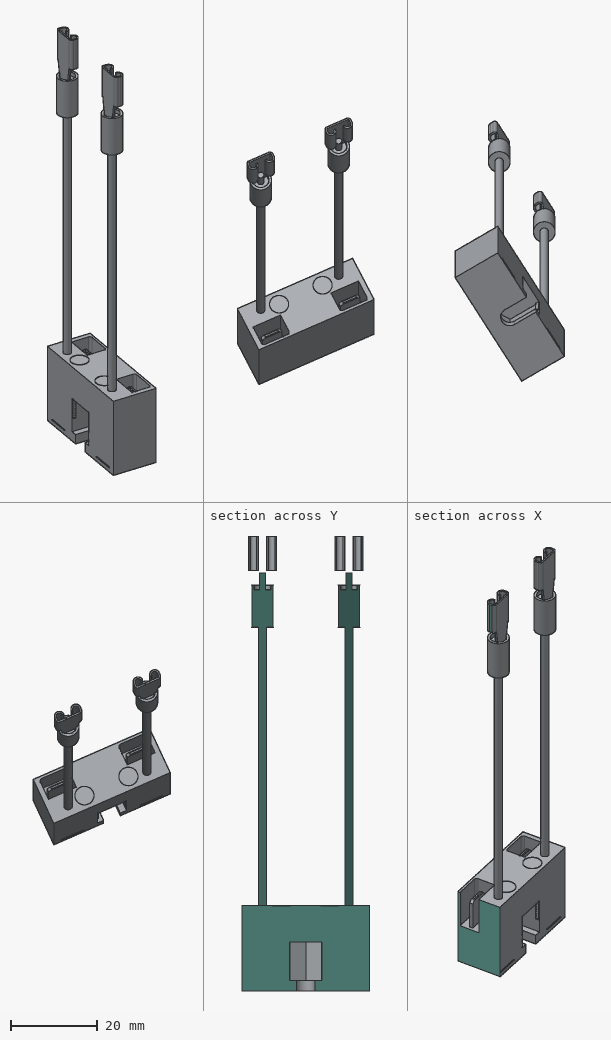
import cadquery as cq
import math

HOUSING_LENGTH = 29.5
HOUSING_DEPTH = 11.6
HOUSING_HEIGHT = 19.9

NUT_SLOT_WIDTH = 7.4
NUT_SLOT_FLOOR = 2.5
NUT_SLOT_TOP = 11.4
BOLT_SLOT_WIDTH = 4.2
NUT_CENTRE_Y = HOUSING_DEPTH / 2

RIB_THICKNESS = 0.26
RIB_BOTTOM = 6.1
RIB_SETBACK = 0.1
RIB_LENGTH = 0.7

POCKET_LENGTH = 7.0
POCKET_DEPTH = 9.5
POCKET_BACK_WALL = 0.6
POCKET_WIDTH = 5.1
POCKET_CORNER_RADIUS = 0.6
BLADE_LENGTH = 5.0
BLADE_THICKNESS = 0.8
BLADE_HEIGHT = 7.7
BLADE_END_CHAMFER = 0.8
BLADE_EDGE_CHAMFER = 0.2

MARK_RADIUS = 2.2
MARK_DEPTH = 0.1
MARK_X = 5.6
MARK_Y = 3.2

GROOVE_LENGTH = 5.8
GROOVE_HEIGHT = 0.1
GROOVE_DEPTH = 0.2
GROOVE_Z = 1.2

LEAD_X = 10.0
LEAD_Y = 2.5
LEAD_TOP = 105.1
WIRE_RADIUS = 1.0
SLEEVE_RADIUS = 2.5
SLEEVE_BOTTOM = 84.1
SLEEVE_TOP = 93.9
SLEEVE_BORE_RADIUS = 1.9
SLEEVE_BORE_DEPTH = 1.0
CONDUCTOR_RADIUS = 0.7
CONDUCTOR_TOP = 96.7

RECEPTACLE_WIDTH = 6.5
RECEPTACLE_THICKNESS = 2.5
RECEPTACLE_BOTTOM = 97.2
RECEPTACLE_FRONT_Y = -1.0
SHEET_THICKNESS = 0.4
PLATE_CORNER_RADIUS = 0.7
ROLL_RADIUS = 1.2
NECK_TOP_WIDTH = 4.8
NECK_BOTTOM_WIDTH = 3.8

SIDES = (-1, 1)


def nut_slot_rib(side):
    centre_x = side * (NUT_SLOT_WIDTH - RIB_THICKNESS) / 2
    return cq.Workplane("XY", origin=(centre_x, RIB_SETBACK, RIB_BOTTOM)).box(
        RIB_THICKNESS, RIB_LENGTH, NUT_SLOT_TOP - RIB_BOTTOM, centered=(True, False, False)
    )


def nut_slot():
    half_width = NUT_SLOT_WIDTH / 2
    tip_depth = half_width * math.tan(math.radians(30))
    tip_y = NUT_CENTRE_Y + 2 * tip_depth
    nut_pocket = (
        cq.Workplane("XY", origin=(0, 0, NUT_SLOT_FLOOR))
        .moveTo(-half_width, 0)
        .lineTo(half_width, 0)
        .lineTo(half_width, tip_y - tip_depth)
        .lineTo(0, tip_y)
        .lineTo(-half_width, tip_y - tip_depth)
        .close()
        .extrude(NUT_SLOT_TOP - NUT_SLOT_FLOOR)
    )
    for side in SIDES:
        nut_pocket = nut_pocket.cut(nut_slot_rib(side))
    bolt_radius = BOLT_SLOT_WIDTH / 2
    bolt_slot = (
        cq.Workplane("XY")
        .moveTo(-bolt_radius, 0)
        .lineTo(bolt_radius, 0)
        .lineTo(bolt_radius, NUT_CENTRE_Y)
        .threePointArc((0, NUT_CENTRE_Y + bolt_radius), (-bolt_radius, NUT_CENTRE_Y))
        .close()
        .extrude(NUT_SLOT_FLOOR)
    )
    return nut_pocket.union(bolt_slot)


def terminal_pocket(x):
    """Pocket with rounded rear corners, with its blade left standing in the middle."""
    centre_y = HOUSING_DEPTH - POCKET_BACK_WALL - POCKET_WIDTH / 2
    floor_z = HOUSING_HEIGHT - POCKET_DEPTH
    pocket = (
        cq.Workplane("XY", origin=(x, centre_y, floor_z))
        .rect(POCKET_LENGTH, POCKET_WIDTH)
        .extrude(POCKET_DEPTH)
        .edges("|Z and >Y")
        .fillet(POCKET_CORNER_RADIUS)
    )
    blade = (
        cq.Workplane("XY", origin=(x, centre_y, floor_z))
        .rect(BLADE_LENGTH, BLADE_THICKNESS)
        .extrude(BLADE_HEIGHT)
        .edges("|Y and >Z")
        .chamfer(BLADE_END_CHAMFER)
        .faces(">Z")
        .edges("|X")
        .chamfer(BLADE_EDGE_CHAMFER)
    )
    return pocket.cut(blade)


def round_mark(x):
    return (
        cq.Workplane("XY", origin=(x, MARK_Y, HOUSING_HEIGHT - MARK_DEPTH))
        .circle(MARK_RADIUS)
        .extrude(MARK_DEPTH)
    )


def front_groove(x):
    return cq.Workplane("XY", origin=(x, GROOVE_DEPTH / 2, GROOVE_Z)).box(
        GROOVE_LENGTH, GROOVE_DEPTH, GROOVE_HEIGHT
    )


def make_housing():
    housing = cq.Workplane("XY").box(
        HOUSING_LENGTH, HOUSING_DEPTH, HOUSING_HEIGHT, centered=(True, False, False)
    )
    housing = housing.cut(nut_slot())
    for side in SIDES:
        housing = housing.cut(terminal_pocket(side * LEAD_X))
        housing = housing.cut(round_mark(side * MARK_X))
        housing = housing.cut(front_groove(side * LEAD_X))
    return housing


def cylinder(radius, bottom, top):
    return cq.Workplane("XY", origin=(0, 0, bottom)).circle(radius).extrude(top - bottom)


def crimp_sleeve():
    bore_floor = SLEEVE_TOP - SLEEVE_BORE_DEPTH
    sleeve = cylinder(SLEEVE_RADIUS, SLEEVE_BOTTOM, SLEEVE_TOP)
    return sleeve.cut(cylinder(SLEEVE_BORE_RADIUS, bore_floor, SLEEVE_TOP))


def receptacle_half(side):
    """One half of the rolled sheet: plate, rounded front corner, side and half-circle roll."""
    outer_x = RECEPTACLE_WIDTH / 2
    inner_x = outer_x - SHEET_THICKNESS
    front_y = RECEPTACLE_FRONT_Y
    inner_y = front_y + SHEET_THICKNESS
    corner_y = front_y + PLATE_CORNER_RADIUS
    corner_x = outer_x - PLATE_CORNER_RADIUS
    inner_corner_radius = PLATE_CORNER_RADIUS - SHEET_THICKNESS
    roll_x = outer_x - ROLL_RADIUS
    roll_y = front_y + RECEPTACLE_THICKNESS - ROLL_RADIUS
    inner_roll_radius = ROLL_RADIUS - SHEET_THICKNESS
    diagonal = math.sqrt(0.5)
    return (
        cq.Workplane("XY", origin=(0, 0, RECEPTACLE_BOTTOM))
        .moveTo(0, front_y)
        .lineTo(side * corner_x, front_y)
        .threePointArc(
            (side * (corner_x + diagonal * PLATE_CORNER_RADIUS), corner_y - diagonal * PLATE_CORNER_RADIUS),
            (side * outer_x, corner_y),
        )
        .lineTo(side * outer_x, roll_y)
        .threePointArc(
            (side * roll_x, roll_y + ROLL_RADIUS),
            (side * (roll_x - ROLL_RADIUS), roll_y),
        )
        .lineTo(side * (roll_x - inner_roll_radius), roll_y)
        .threePointArc((side * roll_x, roll_y + inner_roll_radius), (side * inner_x, roll_y))
        .lineTo(side * inner_x, corner_y)
        .threePointArc(
            (side * (corner_x + diagonal * inner_corner_radius), corner_y - diagonal * inner_corner_radius),
            (side * corner_x, inner_y),
        )
        .lineTo(0, inner_y)
        .close()
        .extrude(LEAD_TOP - RECEPTACLE_BOTTOM)
    )


def receptacle():
    left_half, right_half = [receptacle_half(side) for side in SIDES]
    return left_half.union(right_half).clean()


def receptacle_neck():
    """Tapered plate from inside the sleeve up to the receptacle."""
    bore_floor = SLEEVE_TOP - SLEEVE_BORE_DEPTH
    half_bottom = NECK_BOTTOM_WIDTH / 2
    half_top = NECK_TOP_WIDTH / 2
    return (
        cq.Workplane("XZ", origin=(0, RECEPTACLE_FRONT_Y, 0))
        .moveTo(-half_bottom, bore_floor)
        .lineTo(half_bottom, bore_floor)
        .lineTo(half_bottom, SLEEVE_TOP)
        .lineTo(half_top, RECEPTACLE_BOTTOM)
        .lineTo(-half_top, RECEPTACLE_BOTTOM)
        .lineTo(-half_bottom, SLEEVE_TOP)
        .close()
        .extrude(-SHEET_THICKNESS)
    )


def make_lead(x):
    lead = (
        cylinder(WIRE_RADIUS, HOUSING_HEIGHT, SLEEVE_BOTTOM)
        .union(crimp_sleeve())
        .union(cylinder(CONDUCTOR_RADIUS, SLEEVE_TOP - SLEEVE_BORE_DEPTH, CONDUCTOR_TOP))
        .union(receptacle_neck())
        .union(receptacle())
    )
    return lead.translate((x, LEAD_Y, 0))


housing = make_housing()
leads = [make_lead(side * LEAD_X) for side in SIDES]

result = cq.Compound.makeCompound([housing.val(), *[lead.val() for lead in leads]])